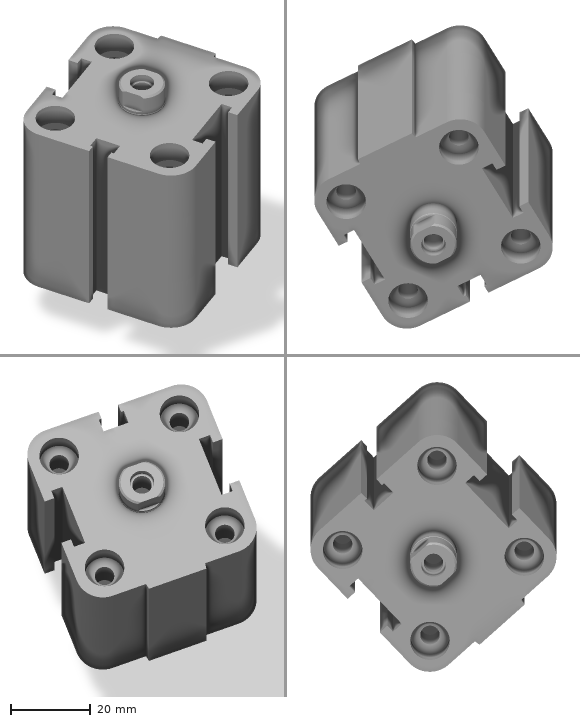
import cadquery as cq

total_length = 66.5

housing_width = 48.0
housing_length = 49.5
corner_radius = 7.0
cap_length = 14.5
tube_length = housing_length - 2 * cap_length
housing_top = housing_length / 2
housing_side = housing_width / 2

pad_height = 1.45
pad_base_width = 15.95
pad_top_width = 15.5

side_slot_mouth = 12.0
side_slot_inner_width = 16.2
side_slot_lip = 2.6
side_slot_depth = 5.6
front_slot_mouth = 5.25
front_slot_inner_width = 6.7
front_slot_lip = 2.05
front_slot_depth = 5.45

screw_offset = 16.2
counterbore_diameter = 10.0
counterbore_depth = 5.5
screw_hole_diameter = 4.9
screw_hole_depth = cap_length

rod_diameter = 12.0
rod_top_reach = 6.0
rod_top = housing_top + rod_top_reach
rod_bottom = rod_top - total_length
tip_diameter = 11.7
tip_length = 5.6
tip_chamfer = 0.45
shoulder_chamfer = (rod_diameter - tip_diameter) / 2
flat_width = 10.05
flat_length = 4.9

rod_recess_diameter = 6.2
rod_recess_depth = 2.0
rod_bore_diameter = 4.9
rod_bore_depth = 10.0


def slot_cutter(mouth, inner_width, lip, depth, angle):
    """T-slot in the side of the housing that faces +X once turned by `angle` about Z."""
    outline = [
        (housing_side, -mouth / 2),
        (housing_side, mouth / 2),
        (housing_side - lip, mouth / 2),
        (housing_side - lip, inner_width / 2),
        (housing_side - depth, inner_width / 2),
        (housing_side - depth, -inner_width / 2),
        (housing_side - lip, -inner_width / 2),
        (housing_side - lip, -mouth / 2),
    ]
    cutter = cq.Workplane("XY").polyline(outline).close().extrude(housing_length, both=True)
    return cutter.rotate((0, 0, 0), (0, 0, 1), angle)


def housing_section(bottom, length):
    """One length of the housing profile, with the pad and the three T-slots."""
    block = (
        cq.Workplane("XY", origin=(0, 0, bottom))
        .rect(housing_width, housing_width)
        .extrude(length)
        .edges("|Z")
        .fillet(corner_radius)
    )
    pad_outline = [
        (-pad_base_width / 2, 0),
        (-pad_base_width / 2, housing_side),
        (-pad_top_width / 2, housing_side + pad_height),
        (pad_top_width / 2, housing_side + pad_height),
        (pad_base_width / 2, housing_side),
        (pad_base_width / 2, 0),
    ]
    pad = cq.Workplane("XY", origin=(0, 0, bottom)).polyline(pad_outline).close().extrude(length)
    section = block.union(pad)
    for angle in (0, 180):
        section = section.cut(
            slot_cutter(side_slot_mouth, side_slot_inner_width, side_slot_lip, side_slot_depth, angle)
        )
    return section.cut(
        slot_cutter(front_slot_mouth, front_slot_inner_width, front_slot_lip, front_slot_depth, -90)
    )


def stepped_hole(top, wide_diameter, wide_depth, narrow_diameter, narrow_depth):
    """Cutter for a blind hole that enters downwards at Z = `top` and has a wider mouth."""
    mouth = cq.Workplane("XY", origin=(0, 0, top)).circle(wide_diameter / 2).extrude(-wide_depth)
    bore = cq.Workplane("XY", origin=(0, 0, top)).circle(narrow_diameter / 2).extrude(-narrow_depth)
    return mouth.union(bore)


def make_housing():
    """Two end caps and the tube between them, one solid that keeps its flush seams."""
    lower_cap = housing_section(-housing_top, cap_length)
    tube = housing_section(-tube_length / 2, tube_length)
    upper_cap = housing_section(tube_length / 2, cap_length)
    body = lower_cap.union(tube, clean=False).union(upper_cap, clean=False)

    upper_hole = stepped_hole(
        housing_top, counterbore_diameter, counterbore_depth, screw_hole_diameter, screw_hole_depth
    )
    for x in (-screw_offset, screw_offset):
        for y in (-screw_offset, screw_offset):
            hole = upper_hole.translate((x, y, 0))
            body = body.cut(hole, clean=False).cut(hole.mirror("XY"), clean=False)

    rod_hole = cq.Workplane("XY").circle(rod_diameter / 2).extrude(housing_length, both=True)
    return body.cut(rod_hole, clean=False)


def rod_half(end):
    """Half rod from Z = 0 up to its tip at Z = `end`."""
    shoulder = end - tip_length
    profile = [
        (0, 0),
        (rod_diameter / 2, 0),
        (rod_diameter / 2, shoulder - shoulder_chamfer),
        (tip_diameter / 2, shoulder),
        (tip_diameter / 2, end - tip_chamfer),
        (tip_diameter / 2 - tip_chamfer, end),
        (0, end),
    ]
    half = cq.Workplane("XZ").polyline(profile).close().revolve(360, (0, 0, 0), (0, 1, 0))
    for side in (-1, 1):
        flat = (
            cq.Workplane("XY", origin=(0, side * (flat_width + rod_diameter) / 2, end))
            .rect(rod_diameter, rod_diameter)
            .extrude(-flat_length)
        )
        half = half.cut(flat)
    return half.cut(
        stepped_hole(end, rod_recess_diameter, rod_recess_depth, rod_bore_diameter, rod_bore_depth)
    )


def make_rod():
    """Through rod: an upper half and a mirrored, longer lower half."""
    return rod_half(rod_top).union(rod_half(-rod_bottom).mirror("XY"))


housing = make_housing()
rod = make_rod()

result = cq.Compound.makeCompound([housing.val(), rod.val()])